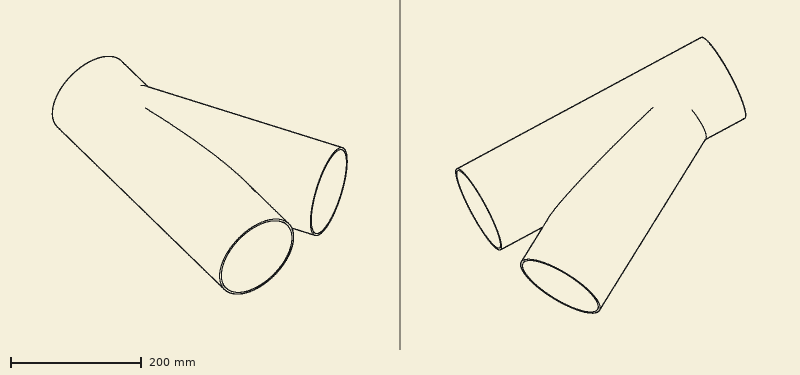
import cadquery as cq
import math

outer_diameter = 141.3
bore_diameter = 134.49
inlet_length = 88.9
outlet_length = 342.9
branch_angle = 30.0

run_direction = cq.Vector(1, 0, 0)
branch_radians = math.radians(branch_angle)
branch_direction = cq.Vector(math.cos(branch_radians), math.sin(branch_radians), 0)


def wye_body(diameter):
    """Run and branch cylinders of one diameter, joined at the axis crossing."""
    radius = diameter / 2
    run_start = run_direction * -inlet_length
    run = cq.Solid.makeCylinder(radius, inlet_length + outlet_length, run_start, run_direction)
    branch = cq.Solid.makeCylinder(radius, outlet_length, cq.Vector(0, 0, 0), branch_direction)
    return cq.Workplane(obj=run).union(cq.Workplane(obj=branch))


result = wye_body(outer_diameter).cut(wye_body(bore_diameter))